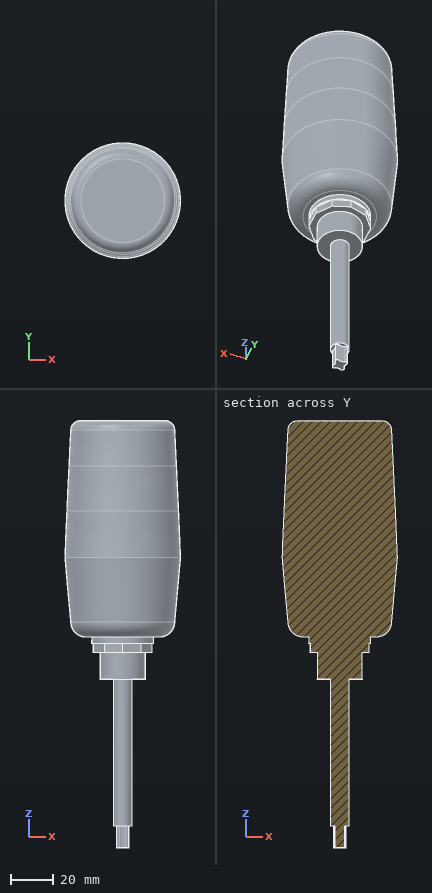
import cadquery as cq
import math

total_height = 203.0
top_edge_z = 198.5
upper_joint_z = 181.5
lower_joint_z = 160.0
widest_z = 137.8
bottom_edge_z = 107.4
handle_bottom_z = 100.0
collar_bottom_z = 97.0
nut_bottom_z = 92.8
barrel_bottom_z = 80.0
bit_top_z = 10.4

top_flat_radius = 39.8 / 2
top_edge_radius = 24.8
upper_joint_radius = 25.5
lower_joint_radius = 26.5
widest_radius = 55.0 / 2
bottom_edge_radius = 24.8
bottom_flat_radius = 17.5

collar_diameter = 29.5
nut_corner_diameter = 29.5
nut_sides = 10
barrel_diameter = 21.5
shaft_diameter = 9.0

lobe_radius = 1.9 / 2
hollow_radius = 3.0
lobe_offset = 2.0


def rounded_edge_middle(flat_radius, flat_z, edge_radius, edge_z):
    """Point halfway along a quarter-round between a flat end and the side."""
    bulge = math.sqrt(0.5)
    radius = flat_radius + (edge_radius - flat_radius) * bulge
    z = edge_z + (flat_z - edge_z) * bulge
    return radius, z


def make_handle():
    top_middle = rounded_edge_middle(top_flat_radius, total_height, top_edge_radius, top_edge_z)
    bottom_middle = rounded_edge_middle(
        bottom_flat_radius, handle_bottom_z, bottom_edge_radius, bottom_edge_z
    )
    return (
        cq.Workplane("XZ")
        .moveTo(0, total_height)
        .lineTo(top_flat_radius, total_height)
        .threePointArc(top_middle, (top_edge_radius, top_edge_z))
        .lineTo(upper_joint_radius, upper_joint_z)
        .lineTo(lower_joint_radius, lower_joint_z)
        .lineTo(widest_radius, widest_z)
        .lineTo(bottom_edge_radius, bottom_edge_z)
        .threePointArc(bottom_middle, (bottom_flat_radius, handle_bottom_z))
        .lineTo(0, handle_bottom_z)
        .close()
        .revolve(360, (0, 0, 0), (0, 1, 0))
    )


def cylinder(diameter, bottom_z, top_z):
    return cq.Workplane("XY").workplane(offset=bottom_z).circle(diameter / 2).extrude(top_z - bottom_z)


def make_nut():
    return (
        cq.Workplane("XY", origin=(0, 0, nut_bottom_z))
        .transformed(rotate=(0, 0, 90))
        .polygon(nut_sides, nut_corner_diameter)
        .extrude(collar_bottom_z - nut_bottom_z)
    )


def quarter_turned(point, quarters):
    """Point turned about the origin by a number of quarter turns."""
    x, y = point
    for _ in range(quarters):
        x, y = -y, x
    return x, y


def make_bit():
    centre_distance = lobe_radius + hollow_radius
    hollow_offset = lobe_offset + math.sqrt(centre_distance**2 - lobe_offset**2)
    lobe_share = lobe_radius / centre_distance
    touch_x = lobe_offset + (hollow_offset - lobe_offset) * lobe_share
    touch_y = lobe_offset * (1 - lobe_share)
    lobe_tip = lobe_offset + lobe_radius * math.sqrt(0.5)
    hollow_bottom = (hollow_offset - hollow_radius, 0)

    outline = cq.Workplane("XY").moveTo(touch_x, -touch_y)
    for quarter in range(4):
        hollow_middle = quarter_turned(hollow_bottom, quarter)
        hollow_end = quarter_turned((touch_x, touch_y), quarter)
        lobe_middle = quarter_turned((lobe_tip, lobe_tip), quarter)
        lobe_end = quarter_turned((touch_y, touch_x), quarter)
        outline = outline.threePointArc(hollow_middle, hollow_end).threePointArc(lobe_middle, lobe_end)
    return outline.close().extrude(bit_top_z)


result = (
    make_handle()
    .union(cylinder(collar_diameter, collar_bottom_z, handle_bottom_z))
    .union(make_nut())
    .union(cylinder(barrel_diameter, barrel_bottom_z, nut_bottom_z))
    .union(cylinder(shaft_diameter, bit_top_z, barrel_bottom_z))
    .union(make_bit())
)